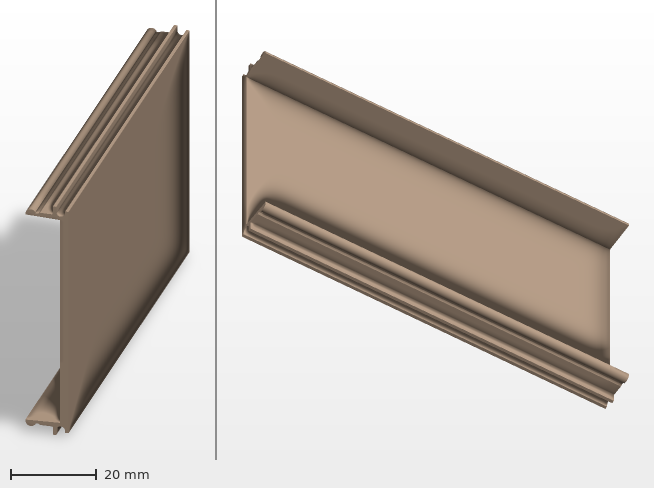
import cadquery as cq
import math

length = 100.0
depth = 10.5
height = 59.4
half_height = height / 2

plate_thickness = 2.1
plate_inner_x = depth - plate_thickness
plate_half_height = 28.8

flange_root_z = 26.4
flange_tip_z = 26.7
flange_outer_z = 27.6

bead_peak_x = 1.3
bead_peak_z = 28.2
bead_end_x = 2.4
bead_end_z = 27.6
groove_z = 27.3
groove_end_x = 3.1
ramp_end_x = 3.6

fin_left_x = 6.7
fin_top_right_x = 7.5
fin_base_right_x = 7.6
fin_base_fillet = 0.3

channel_radius = 1.1
channel_center_x = 8.6
channel_center_z = groove_z + channel_radius
channel_right_x = channel_center_x + channel_radius
channel_left_z = channel_center_z - math.sqrt(channel_radius**2 - (channel_center_x - fin_base_right_x) ** 2)


def half_profile():
    """Outline of the half above the mid-plane, drawn in X and Z."""
    return (
        cq.Workplane("XZ", origin=(0, length / 2, 0))
        .moveTo(depth, 0)
        .lineTo(plate_inner_x, 0)
        .lineTo(plate_inner_x, flange_root_z)
        .lineTo(0, flange_tip_z)
        .threePointArc((bead_peak_x, bead_peak_z), (bead_end_x, bead_end_z))
        .lineTo(bead_end_x, groove_z)
        .lineTo(groove_end_x, groove_z)
        .lineTo(ramp_end_x, flange_outer_z)
        .lineTo(fin_left_x - fin_base_fillet, flange_outer_z)
        .tangentArcPoint((fin_left_x, flange_outer_z + fin_base_fillet), relative=False)
        .lineTo(fin_left_x, half_height)
        .lineTo(fin_top_right_x, half_height)
        .lineTo(fin_base_right_x, channel_left_z)
        .threePointArc((channel_center_x, groove_z), (channel_right_x, channel_center_z))
        .lineTo(channel_right_x, plate_half_height)
        .lineTo(depth, plate_half_height)
        .close()
    )


upper_half = half_profile().extrude(length)
lower_half = upper_half.mirror("XY")
result = upper_half.union(lower_half).clean()